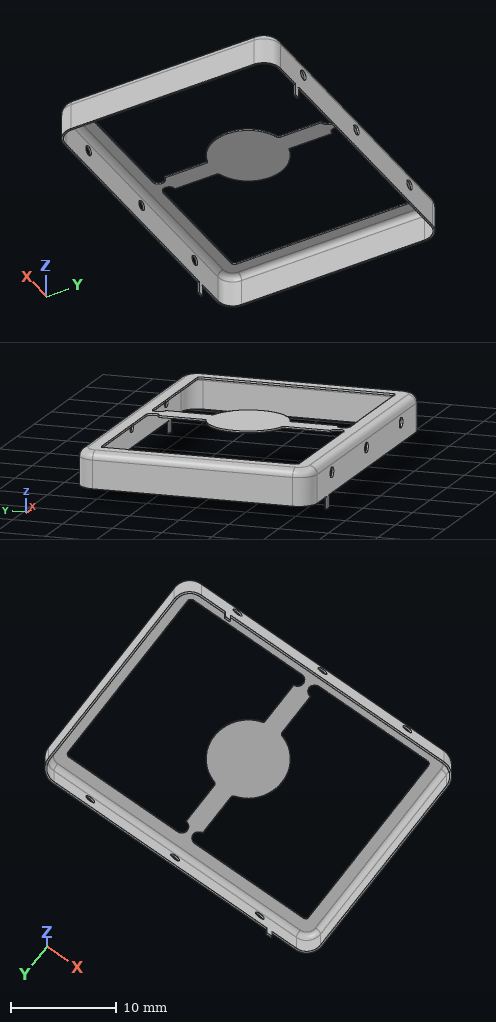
import cadquery as cq

length = 32.3
width = 23.8
total_height = 4.9
leg_drop = 1.25
wall_height = total_height - leg_drop
sheet = 0.2
corner_radius = 1.85
top_radius = 0.8

rail_width = 1.97
opening_length = length - 2 * rail_width
opening_width = width - 2 * rail_width
opening_corner_radius = 0.32

disc_radius = 4.0
arm_width = 2.0
notch_radius = 0.65
arm_root_radius = 0.2

hole_diameter = 1.0
hole_spacing = 10.0
hole_z = wall_height - 1.65

leg_width = 0.6
leg_x = 11.15


def rounded_block(size_x, size_y, height, vertical_radius, edge_radius):
    """Block standing on Z = 0 with rounded corners and a rounded top edge."""
    block = cq.Workplane("XY").rect(size_x, size_y).extrude(height)
    return block.edges("|Z").fillet(vertical_radius).faces(">Z").edges().fillet(edge_radius)


def make_shell():
    outer = rounded_block(length, width, wall_height, corner_radius, top_radius)
    cavity = rounded_block(
        length - 2 * sheet,
        width - 2 * sheet,
        wall_height - sheet,
        corner_radius - sheet,
        top_radius - sheet,
    )
    return outer.cut(cavity)


def make_opening():
    opening = (
        cq.Workplane("XY")
        .workplane(offset=wall_height - sheet)
        .rect(opening_length, opening_width)
        .extrude(sheet)
    )
    return opening.edges("|Z").fillet(opening_corner_radius)


def make_bridge():
    """Disc on two arms, with round notches where each arm meets the rail."""
    plane = cq.Workplane("XY").workplane(offset=wall_height - sheet)
    disc = plane.circle(disc_radius).extrude(sheet)
    arms = plane.rect(arm_width, opening_width + rail_width).extrude(sheet)
    roots = cq.selectors.BoxSelector(
        (-arm_width, -disc_radius, 0),
        (arm_width, disc_radius, wall_height),
    )
    bridge = disc.union(arms).edges("|Z").edges(roots).fillet(arm_root_radius)
    notch_y = opening_width / 2 - notch_radius
    notches = (
        plane.rect(arm_width, 2 * notch_y, forConstruction=True)
        .vertices()
        .circle(notch_radius)
        .extrude(sheet)
    )
    return bridge.cut(notches)


def make_side_holes():
    """Cutters that pass through both long walls."""
    return (
        cq.Workplane("XZ")
        .pushPoints([(i * hole_spacing, hole_z) for i in (-1, 0, 1)])
        .circle(hole_diameter / 2)
        .extrude(width / 2, both=True)
    )


def make_legs():
    """Two diagonally opposed legs, continuing the long walls downward."""
    leg_y = (width - sheet) / 2
    leg_top = wall_height / 2
    return (
        cq.Workplane("XY")
        .workplane(offset=-leg_drop)
        .pushPoints([(-leg_x, -leg_y), (leg_x, leg_y)])
        .rect(leg_width, sheet)
        .extrude(leg_drop + leg_top)
    )


frame = make_shell().cut(make_opening()).union(make_bridge()).union(make_legs())
result = frame.cut(make_side_holes())